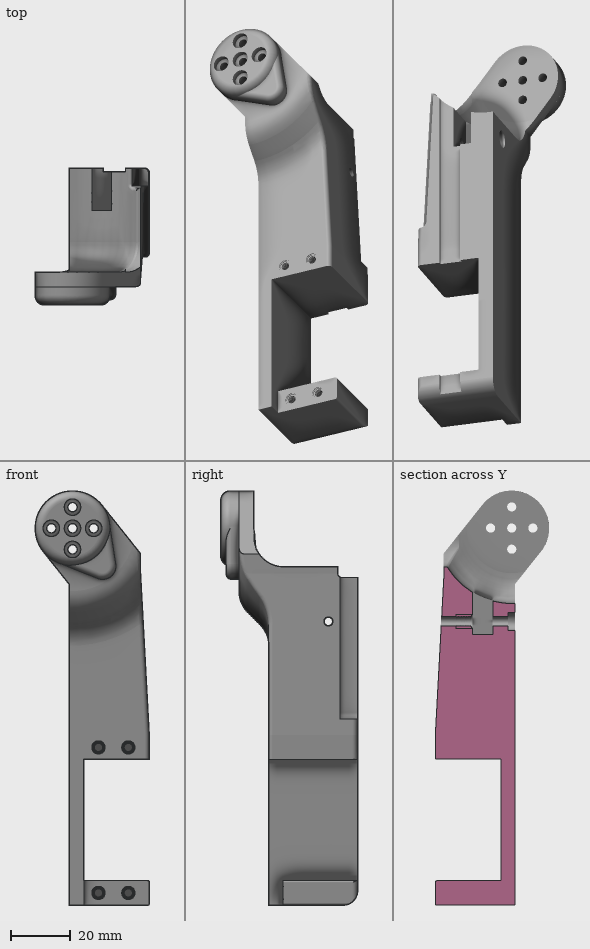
import cadquery as cq
import math

TOTAL_HEIGHT = 138.3
BIG = 166.0
MARGIN = 0.1

HEAD_RADIUS = 12.5
HEAD_LEFT_OVERHANG = 11.3
HEAD_X = HEAD_RADIUS - HEAD_LEFT_OVERHANG
HEAD_Z = TOTAL_HEIGHT - HEAD_RADIUS
HEAD_TILT = math.radians(51.5)

ARM_DEPTH = 29.7
BEND_RADIUS = 10.0
TAB_FRONT = ARM_DEPTH + BEND_RADIUS
TAB_THICKNESS = 5.0
TAB_BACK = TAB_FRONT - TAB_THICKNESS
CAP_FRONT = 45.8

PLATE_THICKNESS = 5.0
NECK_RIGHT = 23.9
ARM_RIGHT = 26.8
DRAFT_BOTTOM_Z = 56.7
DRAFT_TOP_Z = 110.6
WINDOW_BOTTOM = 8.3
WINDOW_TOP = 48.7
FOOT_BACK_RADIUS = 5.0
FRONT_EDGE_RADIUS = 1.4
CORNER_RADIUS = 1.7
FOOT_SETBACK = 4.8
FOOT_EDGE_RADIUS = 0.7

TROUGH_RADIUS = 25.0
BEND_START = 21.0
BEND_ANGLE = math.radians(45)

WALL_TOP = 113.0
WALL_EDGE_RADIUS = 1.0
RIM_RIGHT = 23.0
STEP_TOP = 109.4
STEP_DEPTH = 6.6
STEP_ROUND = 1.2

RECESS_INSET = 3.0
RECESS_DEPTH = 6.0
RECESS_FLOOR_Z = 62.2
RECESS_ROUND = 2.1

GROOVE_LEFT, GROOVE_RIGHT = 11.5, 18.8
GROOVE_DEPTH = 1.2
POCKET_LEFT, POCKET_RIGHT = 7.6, 14.2
POCKET_DEPTH = 14.2
POCKET_BELOW_SCREW = 4.3

SIDE_SCREW_Y, SIDE_SCREW_Z = -9.8, 94.7
SIDE_HOLE_D = 3.0
SIDE_HEAD_D = 6.0
SIDE_HEAD_DEPTH = 2.4

INSERT_D = 4.4
INSERT_BORE_D = 2.8
INSERT_FLANGE_D = 4.1
INSERT_MOUTH_D = 3.6
INSERT_STEP = 0.3
THREAD_D = 3.0
THREAD_PITCH = 0.5
INSERT_LENGTH = 5.5
THREAD_TURNS = 8
INSERT_X = (9.8, 19.8)
UPPER_INSERT_Z = 52.7
LOWER_INSERT_Z = 4.1

CAP_EDGE_RADIUS = 3.2
LEVER_HEIGHT = 4.3
LEVER_EDGE_RADIUS = 2.0
LEVER_TIP_RADIUS = 4.4
LEVER_INSET = 0.07
LEVER_HALF_ANGLE = math.radians(30)
SCREW_PITCH = 7.0
SCREW_D = 3.0
SCREW_HEAD_D = 5.5
SCREW_HEAD_DEPTH = 2.1

FRONT_INSERTS = [(x, -ARM_DEPTH, UPPER_INSERT_Z) for x in INSERT_X]
FRONT_INSERTS += [(x, FOOT_SETBACK - ARM_DEPTH, LOWER_INSERT_Z) for x in INSERT_X]
SIDE_INSERT = (POCKET_RIGHT, SIDE_SCREW_Y, SIDE_SCREW_Z)


def box(x_range, y_range, z_range):
    sizes = [high - low for low, high in (x_range, y_range, z_range)]
    corner = cq.Vector(x_range[0], y_range[0], z_range[0])
    return cq.Workplane(cq.Solid.makeBox(*sizes, corner))


def cylinder(diameter, length, start, direction):
    solid = cq.Solid.makeCylinder(diameter / 2, length, cq.Vector(*start), cq.Vector(*direction))
    return cq.Workplane(solid)


def edges_within(x_range, y_range, z_range):
    """Selector of the edges whose middle lies in a box."""
    low, high = zip(x_range, y_range, z_range)
    return cq.selectors.BoxSelector(low, high)


def front_plane(depth=0.0):
    """Plane facing -Y, at the given depth in front of the back face."""
    return cq.Workplane("XZ", origin=(0, -depth, 0))


def head_profile():
    """Plane for half profiles (radius, Y) turned around the pivot axis."""
    return cq.Workplane("XY", origin=(HEAD_X, 0, HEAD_Z))


def turned(profile):
    return profile.close().revolve(360, (0, 0, 0), (0, 1, 0))


def screw_places():
    places = [(HEAD_X, HEAD_Z)]
    for dx, dz in ((1, 0), (0, 1), (-1, 0), (0, -1)):
        places.append((HEAD_X + dx * SCREW_PITCH, HEAD_Z + dz * SCREW_PITCH))
    return places


def neck_height(x, side):
    """Height at x of the neck's sloping side, a tangent of the head (side +1 right, -1 left)."""
    return HEAD_Z + (side * HEAD_RADIUS - math.sin(HEAD_TILT) * (x - HEAD_X)) / math.cos(HEAD_TILT)


def arm_blank():
    """Side plate, upper block and head tab in one front outline."""
    tangent_x = HEAD_RADIUS * math.sin(HEAD_TILT)
    tangent_z = HEAD_RADIUS * math.cos(HEAD_TILT)
    blank = (
        front_plane()
        .moveTo(0, 0)
        .lineTo(PLATE_THICKNESS, 0)
        .lineTo(PLATE_THICKNESS, WINDOW_TOP)
        .lineTo(ARM_RIGHT, WINDOW_TOP)
        .lineTo(ARM_RIGHT, DRAFT_BOTTOM_Z)
        .lineTo(NECK_RIGHT, DRAFT_TOP_Z)
        .lineTo(NECK_RIGHT, neck_height(NECK_RIGHT, 1))
        .lineTo(HEAD_X + tangent_x, HEAD_Z + tangent_z)
        .threePointArc(
            (HEAD_X - tangent_z, HEAD_Z + tangent_x),
            (HEAD_X - tangent_x, HEAD_Z - tangent_z),
        )
        .lineTo(0, neck_height(0, -1))
        .close()
        .extrude(TAB_FRONT)
    )
    right_corner = edges_within((NECK_RIGHT, BIG), (-MARGIN, MARGIN), (WINDOW_TOP - MARGIN, HEAD_Z))
    blank = blank.edges(right_corner).edges("not |Y").fillet(CORNER_RADIUS)
    return blank.edges("|X and >Y and <Z").fillet(FOOT_BACK_RADIUS)


def front_bend():
    """Space in front of the arm: an S-shaped sweep from the tab face back to the arm face."""
    rise = BEND_RADIUS * math.sin(BEND_ANGLE)
    sag = BEND_RADIUS * (1 - math.cos(BEND_ANGLE))
    half_rise = BEND_RADIUS * math.sin(BEND_ANGLE / 2)
    half_sag = BEND_RADIUS * (1 - math.cos(BEND_ANGLE / 2))
    slope_run = (TAB_FRONT - ARM_DEPTH - 2 * sag) / math.tan(BEND_ANGLE)
    bend_end = BEND_START + 2 * rise + slope_run
    profile = (
        head_profile()
        .moveTo(BEND_START, -TAB_FRONT)
        .threePointArc(
            (BEND_START + half_rise, half_sag - TAB_FRONT),
            (BEND_START + rise, sag - TAB_FRONT),
        )
        .lineTo(bend_end - rise, -ARM_DEPTH - sag)
        .threePointArc((bend_end - half_rise, -ARM_DEPTH - half_sag), (bend_end, -ARM_DEPTH))
        .lineTo(BIG, -ARM_DEPTH)
        .lineTo(BIG, -BIG)
        .lineTo(BEND_START, -BIG)
    )
    return turned(profile)


def back_trough():
    """Round clearance behind the head tab, with a rounded inner corner."""
    diagonal = BEND_RADIUS * math.sin(math.radians(45))
    arc_radius = TROUGH_RADIUS - BEND_RADIUS
    arc_y = BEND_RADIUS - TAB_BACK
    profile = (
        head_profile()
        .moveTo(0, BIG)
        .lineTo(TROUGH_RADIUS, BIG)
        .lineTo(TROUGH_RADIUS, arc_y)
        .threePointArc((arc_radius + diagonal, arc_y - diagonal), (arc_radius, -TAB_BACK))
        .lineTo(0, -TAB_BACK)
    )
    return turned(profile)


def wall_trim():
    """Flattens the crest of the right-hand wall and steps it down at the back."""
    crest = box((GROOVE_RIGHT, BIG), (-TAB_BACK, BIG), (WALL_TOP, BIG))
    crest = crest.edges("<Y and <Z").fillet(BEND_RADIUS)
    step = box((GROOVE_RIGHT, BIG), (-STEP_DEPTH, BIG), (STEP_TOP, BIG))
    step = step.edges("<Y and <Z").fillet(STEP_ROUND)
    return crest.union(step)


def round_rim(arm):
    """Rounds the wall's inner top edge, from the back step along to the bend."""
    rim = edges_within(
        (GROOVE_RIGHT, RIM_RIGHT), (-STEP_DEPTH - MARGIN, -MARGIN), (STEP_TOP - MARGIN, WALL_TOP)
    )
    wall = edges_within(
        (GROOVE_RIGHT, RIM_RIGHT), (-ARM_DEPTH, -STEP_DEPTH), (WALL_TOP - MARGIN, WALL_TOP + MARGIN)
    )
    return arm.edges(rim + wall).fillet(WALL_EDGE_RADIUS)


def lean_x(z):
    """X of the leaning right face at height z."""
    lean = (ARM_RIGHT - NECK_RIGHT) / (DRAFT_TOP_Z - DRAFT_BOTTOM_Z)
    return ARM_RIGHT - lean * (z - DRAFT_BOTTOM_Z)


def corner_recess():
    recess = (
        front_plane()
        .moveTo(lean_x(RECESS_FLOOR_Z) - RECESS_INSET, RECESS_FLOOR_Z)
        .lineTo(BIG, RECESS_FLOOR_Z)
        .lineTo(BIG, HEAD_Z)
        .lineTo(lean_x(HEAD_Z) - RECESS_INSET, HEAD_Z)
        .close()
        .extrude(RECESS_DEPTH)
    )
    floor_corner = edges_within(
        (0, ARM_RIGHT), (-BIG, BIG), (RECESS_FLOOR_Z - MARGIN, RECESS_FLOOR_Z + MARGIN)
    )
    return recess.edges(floor_corner).edges("|Y").fillet(RECESS_ROUND)


def foot():
    """Lower mounting lug, reaching right from the side plate."""
    lug = box((PLATE_THICKNESS, ARM_RIGHT), (FOOT_SETBACK - ARM_DEPTH, 0), (0, WINDOW_BOTTOM))
    corner_rounded = lug.edges("|Z and >X and >Y").fillet(CORNER_RADIUS)
    lug = lug.edges("|X and >Y and <Z").fillet(FOOT_BACK_RADIUS)
    lug = lug.intersect(corner_rounded)
    ends_rounded = (
        box((PLATE_THICKNESS, ARM_RIGHT), (-ARM_DEPTH, 0), (0, WINDOW_BOTTOM))
        .edges("|Y and >X")
        .fillet(FOOT_EDGE_RADIUS)
    )
    return lug.intersect(ends_rounded)


def pocket():
    floor = SIDE_SCREW_Z - POCKET_BELOW_SCREW
    return box((POCKET_LEFT, POCKET_RIGHT), (-POCKET_DEPTH, BIG), (floor, BIG))


def back_groove():
    return box((GROOVE_LEFT, GROOVE_RIGHT), (-GROOVE_DEPTH, BIG), (-BIG, BIG))


def make_arm():
    arm = arm_blank().cut(front_bend())
    front_edge = edges_within(
        (NECK_RIGHT, ARM_RIGHT + MARGIN),
        (-ARM_DEPTH - MARGIN, MARGIN - ARM_DEPTH),
        (WINDOW_TOP - MARGIN, HEAD_Z),
    )
    arm = arm.edges(front_edge).edges("not #Z").fillet(FRONT_EDGE_RADIUS)
    arm = arm.union(foot())
    arm = arm.cut(back_trough()).cut(wall_trim())
    arm = round_rim(arm)
    arm = arm.cut(corner_recess()).cut(pocket()).cut(back_groove())
    along_x = (1, 0, 0)
    side_start = (0, SIDE_SCREW_Y, SIDE_SCREW_Z)
    arm = arm.cut(cylinder(SIDE_HOLE_D, BIG, side_start, along_x))
    arm = arm.cut(cylinder(SIDE_HEAD_D, SIDE_HEAD_DEPTH, side_start, along_x))
    arm = arm.cut(cylinder(INSERT_D, INSERT_LENGTH, SIDE_INSERT, along_x))
    for place in FRONT_INSERTS:
        arm = arm.cut(cylinder(INSERT_D, INSERT_LENGTH, place, (0, 1, 0)))
    return arm.cut(front_plane().pushPoints(screw_places()).circle(SCREW_D / 2).extrude(TAB_FRONT))


def lever():
    """Wedge with a round tip, tangent to the disc and pointing down along the neck."""
    tip_distance = (HEAD_RADIUS - LEVER_TIP_RADIUS) / math.sin(LEVER_HALF_ANGLE)
    tip_x = tip_distance * math.cos(HEAD_TILT)
    tip_z = -tip_distance * math.sin(HEAD_TILT)

    base_radius = HEAD_RADIUS - LEVER_INSET

    def on_circle(center_x, center_z, radius, turn):
        angle = turn - HEAD_TILT
        return (center_x + radius * math.cos(angle), center_z + radius * math.sin(angle))

    tangent_turn = math.pi / 2 - LEVER_HALF_ANGLE
    outline = (
        cq.Workplane("XZ", origin=(HEAD_X, -TAB_FRONT, HEAD_Z))
        .moveTo(*on_circle(0, 0, base_radius, tangent_turn))
        .lineTo(*on_circle(tip_x, tip_z, LEVER_TIP_RADIUS, tangent_turn))
        .threePointArc(
            on_circle(tip_x, tip_z, LEVER_TIP_RADIUS, 0),
            on_circle(tip_x, tip_z, LEVER_TIP_RADIUS, -tangent_turn),
        )
        .lineTo(*on_circle(0, 0, base_radius, -tangent_turn))
        .threePointArc(
            on_circle(0, 0, base_radius, math.pi),
            on_circle(0, 0, base_radius, tangent_turn),
        )
        .close()
    )
    return outline.extrude(LEVER_HEIGHT).faces("<Y").edges().fillet(LEVER_EDGE_RADIUS)


def make_cap():
    disc = front_plane(TAB_FRONT).center(HEAD_X, HEAD_Z).circle(HEAD_RADIUS).extrude(CAP_FRONT - TAB_FRONT)
    disc = disc.faces("<Y").edges().fillet(CAP_EDGE_RADIUS)
    cap = disc.union(lever())
    screws = front_plane(TAB_FRONT).pushPoints(screw_places())
    heads = front_plane(CAP_FRONT - SCREW_HEAD_DEPTH).pushPoints(screw_places())
    cap = cap.cut(screws.circle(SCREW_D / 2).extrude(CAP_FRONT - TAB_FRONT))
    return cap.cut(heads.circle(SCREW_HEAD_D / 2).extrude(SCREW_HEAD_DEPTH))


def make_insert(mouth, direction):
    """Threaded sleeve: stepped mouth, then a bore with ring grooves standing for its thread."""
    def bore(diameter, start, length):
        place = cq.Vector(*mouth) + cq.Vector(*direction) * start
        return cylinder(diameter, length, place.toTuple(), direction)

    insert = bore(INSERT_D, 0, INSERT_LENGTH)
    insert = insert.cut(bore(INSERT_BORE_D, 0, INSERT_LENGTH))
    insert = insert.cut(bore(INSERT_FLANGE_D, 0, INSERT_STEP))
    insert = insert.cut(bore(INSERT_MOUTH_D, 0, 2 * INSERT_STEP))
    for turn in range(THREAD_TURNS):
        insert = insert.cut(bore(THREAD_D, 2 * INSERT_STEP + (turn + 0.5) * THREAD_PITCH, THREAD_PITCH / 2))
    return insert


arm = make_arm()
cap = make_cap()
inserts = [make_insert(place, (0, 1, 0)) for place in FRONT_INSERTS]
inserts.append(make_insert(SIDE_INSERT, (1, 0, 0)))
result = cq.Compound.makeCompound([arm.val(), cap.val(), *[insert.val() for insert in inserts]])